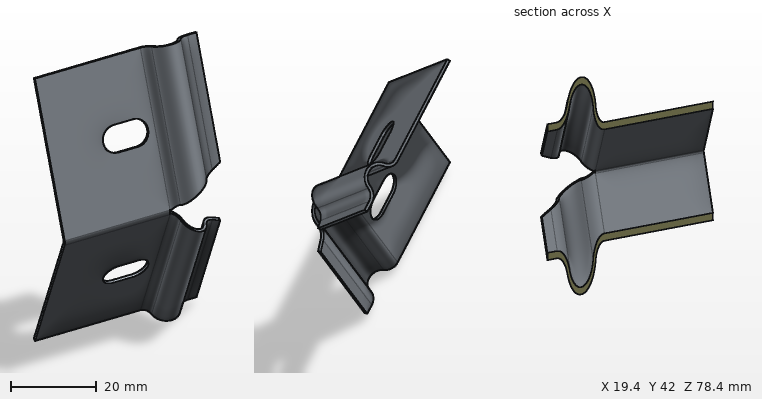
import cadquery as cq
import math

thickness = 0.8
leg_length = 40.05
leg_tilt = 22.5
depth = 42.0
fold_inner_radius = 0.9

lip_width = 2.4
lip_rise = 0.9
crest_height = 4.9
crest_from_rear = 8.55
wave_start_from_rear = 14.4
crest_radius = 3.45

notch_angle = 30

slot_length = 11.8
slot_width = 6.75
slot_from_rear = 22.0
slot_from_fold = 20.5

wave_start = depth - wave_start_from_rear
crest_y = depth - crest_from_rear
lip_start = depth - lip_width
tilt = math.radians(leg_tilt)


def bend_toward_crest(foot_y, foot_height):
    """Return the bend radius and sweep of the S-curve from a flat foot to the crest."""
    run = abs(crest_y - foot_y)
    rise = crest_height - foot_height
    sweep = 2 * math.atan2(rise, run)
    bend_radius = run / math.sin(sweep) - crest_radius
    return bend_radius, sweep


def wave_section(length):
    """Extrude the wave and lip along a vertical leg whose inside face is X = 0."""
    half = thickness / 2
    front_radius, front_sweep = bend_toward_crest(wave_start, 0)
    rear_radius, rear_sweep = bend_toward_crest(lip_start, lip_rise)
    crest_center_x = half + crest_height - crest_radius

    def front_bend(angle, offset):
        radius = front_radius - offset
        return (half + front_radius - radius * math.cos(angle), wave_start + radius * math.sin(angle))

    def rear_bend(angle, offset):
        radius = rear_radius - offset
        center_x = half + lip_rise + rear_radius
        return (center_x - radius * math.cos(angle), lip_start - radius * math.sin(angle))

    def crest_arc(angle, offset):
        radius = crest_radius + offset
        return (crest_center_x + radius * math.cos(angle), crest_y + radius * math.sin(angle))

    return (
        cq.Workplane("XY")
        .moveTo(*front_bend(0, -half))
        .threePointArc(front_bend(front_sweep / 2, -half), front_bend(front_sweep, -half))
        .threePointArc(crest_arc(-front_sweep / 2, -half), crest_arc(0, -half))
        .threePointArc(crest_arc(rear_sweep / 2, -half), rear_bend(rear_sweep, -half))
        .threePointArc(rear_bend(rear_sweep / 2, -half), rear_bend(0, -half))
        .lineTo(lip_rise, depth)
        .lineTo(lip_rise + thickness, depth)
        .lineTo(*rear_bend(0, half))
        .threePointArc(rear_bend(rear_sweep / 2, half), rear_bend(rear_sweep, half))
        .threePointArc(crest_arc(rear_sweep / 2, half), crest_arc(0, half))
        .threePointArc(crest_arc(-front_sweep / 2, half), front_bend(front_sweep, half))
        .threePointArc(front_bend(front_sweep / 2, half), front_bend(0, half))
        .close()
        .extrude(length)
    )


def notched_wave():
    """Cut the fold end of the wave back along a slanted line."""
    notch_run = depth - wave_start
    notch_rise = notch_run * math.tan(math.radians(notch_angle))
    notch = (
        cq.Workplane("YZ")
        .moveTo(wave_start, 0)
        .lineTo(depth, notch_rise)
        .lineTo(depth, 0)
        .close()
        .extrude(crest_height + thickness)
    )
    return wave_section(leg_length).cut(notch)


def slot_cutter():
    return (
        cq.Workplane("YZ")
        .center(depth - slot_from_rear, slot_from_fold)
        .slot2D(slot_length, slot_width)
        .extrude(thickness)
    )


def lean(body):
    """Tilt an upright leg toward -X about the fold line."""
    return body.rotate((0, 0, 0), (0, 1, 0), -leg_tilt)


def folded_plate():
    """Make the flat part of both legs as one sheet with a rounded fold."""
    end = (-leg_length * math.sin(tilt), leg_length * math.cos(tilt))
    outer_end = (end[0] + thickness * math.cos(tilt), end[1] + thickness * math.sin(tilt))
    outer_apex = thickness / math.cos(tilt)
    plate = (
        cq.Workplane("XZ")
        .polyline([
            (0, 0), end, outer_end, (outer_apex, 0),
            (outer_end[0], -outer_end[1]), (end[0], -end[1]),
        ])
        .close()
        .extrude(-wave_start)
    )
    inner_edge = cq.selectors.NearestToPointSelector((0, wave_start / 2, 0))
    outer_edge = cq.selectors.NearestToPointSelector((outer_apex, wave_start / 2, 0))
    plate = plate.edges(inner_edge).fillet(fold_inner_radius)
    return plate.edges(outer_edge).fillet(fold_inner_radius + thickness)


upper_wave = lean(notched_wave())
upper_slot = lean(slot_cutter())

result = (
    folded_plate()
    .union(upper_wave)
    .union(upper_wave.mirror("XY"))
    .cut(upper_slot)
    .cut(upper_slot.mirror("XY"))
)